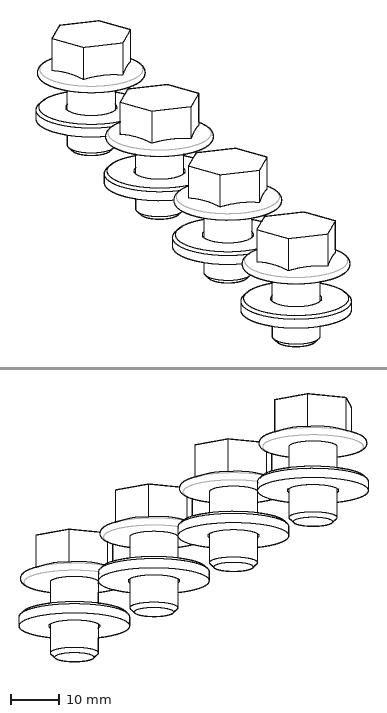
import cadquery as cq
import math

bolt_count = 4
row_length = 151.0

washer_diameter = 23.0
washer_bore = 10.5
washer_thickness = 2.5
washer_chamfer = 0.6
washer_top_z = -6.8

shank_diameter = 10.0
shank_length = 16.0
shank_chamfer = 0.9
head_height = 9.2
hex_across_flats = 15.0
flange_diameter = 22.3
flange_rim_radius = 0.8
flange_slope = math.radians(20)

bolt_spacing = (row_length - washer_diameter) / (bolt_count - 1)
hex_across_corners = hex_across_flats / math.cos(math.radians(30))


def make_flange():
    """Conical flange with a round rim that runs tangentially into the cone."""
    outer_radius = flange_diameter / 2
    rim_center_r = outer_radius - flange_rim_radius
    cone_start_r = rim_center_r + flange_rim_radius * math.sin(flange_slope)
    cone_start_z = flange_rim_radius * (1 + math.cos(flange_slope))
    cone_end_r = hex_across_flats / 2
    cone_end_z = cone_start_z + (cone_start_r - cone_end_r) * math.tan(flange_slope)
    return (
        cq.Workplane("XZ")
        .moveTo(0, 0)
        .lineTo(rim_center_r, 0)
        .threePointArc((outer_radius, flange_rim_radius), (cone_start_r, cone_start_z))
        .lineTo(cone_end_r, cone_end_z)
        .lineTo(0, cone_end_z)
        .close()
        .revolve(360, (0, 0, 0), (0, 1, 0))
    )


def make_hex_head():
    """Hexagon with two corners on the Y axis."""
    return (
        cq.Workplane("XY")
        .transformed(rotate=(0, 0, 90))
        .polygon(6, hex_across_corners)
        .extrude(head_height)
    )


def make_shank():
    """Plain shank with a chamfered tip."""
    return (
        cq.Workplane("XY")
        .circle(shank_diameter / 2)
        .extrude(-shank_length)
        .faces("<Z")
        .chamfer(shank_chamfer)
    )


def make_bolt(x):
    """One bolt: hexagon, flange and shank in one solid."""
    bolt = make_flange().union(make_hex_head()).union(make_shank())
    return bolt.translate((x, 0, 0))


def make_washer(x):
    """One washer around the shank, chamfered on its upper outer edge."""
    disc = (
        cq.Workplane("XY")
        .circle(washer_diameter / 2)
        .extrude(-washer_thickness)
        .faces(">Z")
        .chamfer(washer_chamfer)
    )
    bore = cq.Workplane("XY").circle(washer_bore / 2).extrude(-washer_thickness)
    return disc.cut(bore).translate((x, 0, washer_top_z))


bodies = []
for index in range(bolt_count):
    bolt_x = (index - (bolt_count - 1) / 2) * bolt_spacing
    bodies.append(make_bolt(bolt_x).val())
    bodies.append(make_washer(bolt_x).val())

result = cq.Compound.makeCompound(bodies)